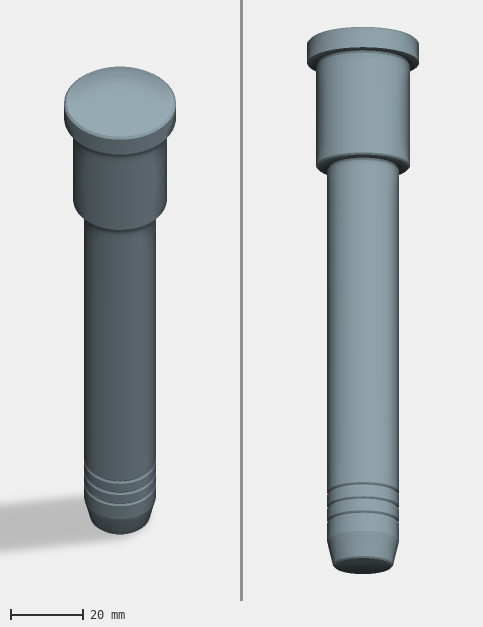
import cadquery as cq
import math

total_length = 151.0
head_radius = 15.48
head_height = 6.0
sleeve_radius = 13.0
sleeve_length = 30.0
shaft_radius = 10.0

head_chamfer = 0.6
sleeve_chamfer = 0.5
relief_depth = 0.5
relief_width = 1.0

taper_length = 7.2
taper_angle = 12.5
tip_chamfer = 0.5

groove_count = 3
groove_width = 1.0
groove_depth = 0.5
groove_pitch = 4.1
first_groove_bottom = 12.1

head_bottom = total_length - head_height
sleeve_bottom = head_bottom - sleeve_length
tip_radius = shaft_radius - taper_length * math.tan(math.radians(taper_angle))


def cylinder(radius, bottom, top):
    return cq.Workplane("XY").workplane(offset=bottom).circle(radius).extrude(top - bottom)


def v_groove(bottom):
    """Ring with a V-shaped section pointing inward from the shaft surface."""
    return (
        cq.Workplane("XZ")
        .moveTo(shaft_radius, bottom)
        .lineTo(shaft_radius - groove_depth, bottom + groove_width / 2)
        .lineTo(shaft_radius, bottom + groove_width)
        .close()
        .revolve(360, (0, 0, 0), (0, 1, 0))
    )


def relief(radius, shoulder):
    """Undercut below a shoulder, ending in a 45 degree run-out at its lower side."""
    neck_radius = radius - relief_depth
    outer_radius = radius + relief_depth
    bottom = shoulder - relief_width
    return (
        cq.Workplane("XZ")
        .moveTo(neck_radius, shoulder)
        .lineTo(neck_radius, bottom + relief_depth)
        .lineTo(radius, bottom)
        .lineTo(outer_radius, bottom)
        .lineTo(outer_radius, shoulder)
        .close()
        .revolve(360, (0, 0, 0), (0, 1, 0))
    )


head = cylinder(head_radius, head_bottom, total_length).faces(">Z").edges().chamfer(head_chamfer)
sleeve = cylinder(sleeve_radius, sleeve_bottom, head_bottom).faces("<Z").edges().chamfer(sleeve_chamfer)
shaft = cylinder(shaft_radius, taper_length, sleeve_bottom)

tip = (
    cq.Workplane("XZ")
    .moveTo(0, 0)
    .lineTo(tip_radius - tip_chamfer, 0)
    .lineTo(tip_radius, tip_chamfer)
    .lineTo(shaft_radius, taper_length)
    .lineTo(0, taper_length)
    .close()
    .revolve(360, (0, 0, 0), (0, 1, 0))
)

result = head.union(sleeve).union(shaft).union(tip)

result = result.cut(relief(sleeve_radius, head_bottom))
result = result.cut(relief(shaft_radius, sleeve_bottom))

for index in range(groove_count):
    groove_bottom = first_groove_bottom + index * groove_pitch
    result = result.cut(v_groove(groove_bottom))